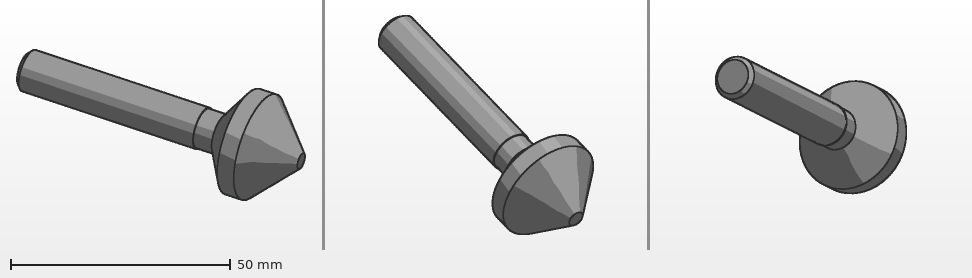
import cadquery as cq

total_length = 71.0
shank_diameter = 10.0
shank_end = 45.7
shank_chamfer = 1.0
neck_diameter = 9.6
neck_end = 50.4
head_diameter = 25.4
rim_start = 55.95
rim_end = 60.2

shank_radius = shank_diameter / 2
neck_radius = neck_diameter / 2
head_radius = head_diameter / 2
tip_radius = head_radius - (total_length - rim_end)

profile = [
    (0, 0),
    (0, shank_radius - shank_chamfer),
    (shank_chamfer, shank_radius),
    (shank_end, shank_radius),
    (shank_end, neck_radius),
    (neck_end, neck_radius),
    (rim_start, head_radius),
    (rim_end, head_radius),
    (total_length, tip_radius),
    (total_length, 0),
]

result = cq.Workplane("XY").polyline(profile).close().revolve(360, (0, 0, 0), (1, 0, 0))